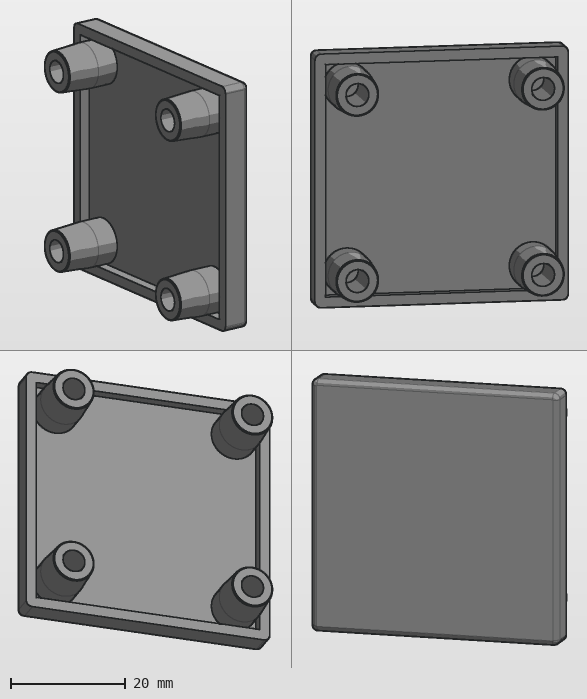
import cadquery as cq

side = 45.0
plate_depth = 5.0
edge_radius = 1.0
corner_radius = 1.1
wall = 1.9
floor_thickness = 3.0

overall_depth = 13.1
post_diameter = 8.25
post_tip_diameter = 7.5
tip_chamfer = 0.2
hole_diameter = 4.05
straight_length = 2.1

pocket_side = side - 2 * wall
pocket_depth = plate_depth - floor_thickness
post_spacing = pocket_side - post_diameter
post_height = overall_depth - plate_depth


def make_plate():
    """Square tray with rounded corners and a rounded closed face."""
    plate = cq.Workplane("XZ").rect(side, side).extrude(-plate_depth)
    plate = plate.edges("|Y").fillet(corner_radius)
    plate = plate.faces(">Y").edges().fillet(edge_radius)
    pocket = cq.Workplane("XZ").rect(pocket_side, pocket_side).extrude(-pocket_depth)
    return plate.cut(pocket)


def make_post():
    """Revolved post standing on the pocket floor, tapered towards its tip."""
    radius = post_diameter / 2
    tip_radius = post_tip_diameter / 2
    hole_radius = hole_diameter / 2
    profile = (
        cq.Workplane("ZY")
        .moveTo(hole_radius, pocket_depth)
        .lineTo(radius, pocket_depth)
        .lineTo(radius, -straight_length)
        .lineTo(tip_radius, tip_chamfer - post_height)
        .lineTo(tip_radius - tip_chamfer, -post_height)
        .lineTo(hole_radius, -post_height)
        .close()
    )
    return profile.revolve(360, (0, 0, 0), (0, 1, 0))


result = make_plate()
post = make_post()
for x_sign in (-1, 1):
    for z_sign in (-1, 1):
        offset = (x_sign * post_spacing / 2, 0, z_sign * post_spacing / 2)
        result = result.union(post.translate(offset))